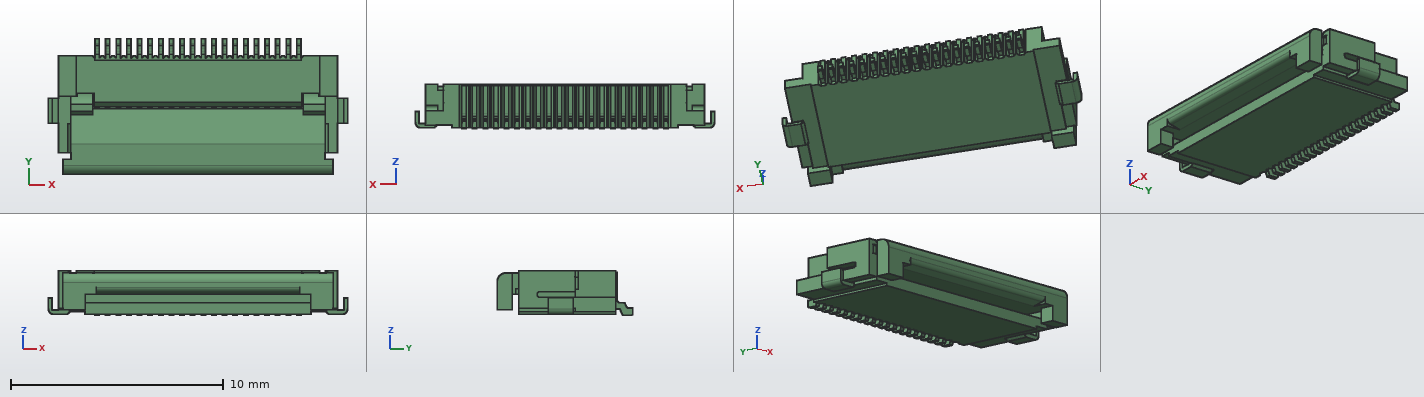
import cadquery as cq


body_half = 6.57
upper_half = 5.72
tongue_half = 5.33
body_back = 5.6
body_front = 1.02
tongue_bottom = 0.04
body_bottom = 0.17
body_top = 2.1
shoulder_top = 0.85
upper_front = 3.4
lip_depth = 0.2
lip_height = 0.3
floor_top = 0.59

arm_inner = 5.98
arm_back = 3.68
arm_bottom = 0.34
arm_slot_height = 0.27
arm_slot_front = 1.89
bevel_back = 2.38
bevel_width = 0.14
bevel_depth = 0.17
socket_outer = 6.29
socket_bottom = 1.44
socket_top = 1.88
socket_depth = 0.11
skirt_half = 6.06

flap_half = 6.36
flap_top = 2.0
flap_round = 0.44
ear_back = 0.72
ear_bottom = 0.25
notch_half = 5.3
panel_bottom = 0.99
panel_back = 3.09
slope_front = 1.45
slope_drop = 0.45
entry_half = 4.8
entry_round = 0.21
entry_bottom = 1.11
entry_depth = 0.7
relief_depth = 0.04
relief_front = 0.89
relief_back = 1.41
relief_top = 1.24

hinge_inner = 4.95
hinge_front = 2.8
hinge_foot = 1.64
hinge_flat_front = 2.98
hinge_flat_back = 3.31
hinge_low = 1.79
hinge_inset = 0.04
pocket_inner = 4.88
pocket_back = 3.82
pocket_floor = 1.23

contact_count = 20
contact_span = 9.5
contact_pitch = contact_span / (contact_count - 1)
contact_width = 0.21
contact_back = 6.4
contact_rear_face = 5.67
comb_depth = 0.21
tooth_chamfer = 0.11
contact_nose = 3.13
beam_top = 1.69
beam_bottom = 1.06
riser_top = 2.02
riser_bottom = 0.3
riser_bend = 0.11
step_top = 0.59
step_back = 6.05
step_bend = 0.08
step_slant = 0.04
foot_top = 0.35
foot_front = 5.91
foot_slant = 0.13
foot_chamfer = 0.05

tab_half = 7.05
tab_thickness = 0.18
tab_floor = 0.25
tab_top = 0.82
tab_front = 2.41
tab_back = 3.6
tab_bend = 0.27
tab_inner = 6.0
tab_taper = 0.15


def box(x0, x1, y0, y1, z0, z1):
    """Block given by its limits along each axis."""
    return cq.Workplane("XY").box(x1 - x0, y1 - y0, z1 - z0, centered=False).translate((x0, y0, z0))


def wide_box(half, y0, y1, z0, z1):
    """Block centred on X = 0."""
    return box(-half, half, y0, y1, z0, z1)


def extrude_side(points, x0, x1):
    """Extrude a closed (Y, Z) outline from x0 to x1."""
    return cq.Workplane("YZ").polyline(points).close().extrude(x1 - x0).translate((x0, 0, 0))


def both_sides(shape):
    """Shape together with its mirror image about X = 0."""
    return shape.union(shape.mirror("YZ"))


def contact_positions():
    return [-contact_span / 2 + i * contact_pitch for i in range(contact_count)]


def make_housing():
    floor = wide_box(skirt_half, body_front, arm_back, body_bottom, floor_top)
    tongue = wide_box(tongue_half, body_front, body_back, tongue_bottom, body_bottom)
    shoulder = wide_box(body_half, arm_back, body_back, body_bottom, shoulder_top)
    upper_outline = [
        (upper_front - lip_depth, body_bottom),
        (body_back, body_bottom),
        (body_back, body_top),
        (upper_front, body_top),
        (upper_front - lip_depth, body_top - lip_height),
    ]
    upper = extrude_side(upper_outline, -upper_half, upper_half)
    pocket = box(-upper_half, -pocket_inner, upper_front - lip_depth, pocket_back, pocket_floor, body_top)
    upper = upper.cut(both_sides(pocket))
    cheek = box(-arm_inner, -upper_half, body_front, arm_back, body_bottom, panel_bottom)
    return floor.union(tongue).union(shoulder).union(upper).union(both_sides(cheek))


def cut_contact_comb(housing):
    """Lowered rear edge with a flared groove for each contact."""
    row_half = (contact_span + contact_width) / 2
    comb_front = body_back - comb_depth
    housing = housing.cut(wide_box(row_half, comb_front, body_back, riser_top, body_top))
    groove_half = contact_width / 2
    flare_half = groove_half + tooth_chamfer
    for x in contact_positions():
        groove = (
            cq.Workplane("XY")
            .polyline([
                (x - groove_half, body_back - tooth_chamfer),
                (x - flare_half, body_back),
                (x + flare_half, body_back),
                (x + groove_half, body_back - tooth_chamfer),
            ])
            .close()
            .extrude(body_top)
        )
        housing = housing.cut(groove)
    return housing


def make_arm():
    arm = box(-body_half, -arm_inner, body_front, arm_back, arm_bottom, body_top)
    slot_middle = shoulder_top + arm_slot_height / 2
    slot_end = arm_slot_front + arm_slot_height / 2
    slot = box(-body_half, -arm_inner, slot_end, arm_back, shoulder_top, shoulder_top + arm_slot_height)
    slot_round = (
        cq.Workplane("YZ")
        .center(slot_end, slot_middle)
        .circle(arm_slot_height / 2)
        .extrude(body_half - arm_inner)
        .translate((-body_half, 0, 0))
    )
    bevel = (
        cq.Workplane("XZ")
        .polyline([
            (-arm_inner - bevel_width, body_top),
            (-arm_inner, body_top),
            (-arm_inner, body_top - bevel_depth),
        ])
        .close()
        .extrude(body_front - bevel_back)
        .translate((0, body_front, 0))
    )
    socket = box(-socket_outer, -arm_inner, body_front, body_front + socket_depth, socket_bottom, socket_top)
    return arm.cut(slot).cut(slot_round).cut(bevel).cut(socket)


def make_flap():
    panel_outline = [
        (0, panel_bottom),
        (0, flap_top),
        (slope_front, flap_top),
        (panel_back, flap_top - slope_drop),
        (panel_back, panel_bottom),
    ]
    flap = extrude_side(panel_outline, -arm_inner, arm_inner)
    flap = flap.union(both_sides(box(-flap_half, -notch_half, 0, ear_back, ear_bottom, flap_top)))
    flap = flap.edges("|X and <Y and >Z").fillet(flap_round)
    round_top = entry_bottom + entry_round
    entry = (
        cq.Workplane("YZ")
        .moveTo(0, panel_bottom)
        .lineTo(0, round_top)
        .radiusArc((entry_round, entry_bottom), -entry_round)
        .lineTo(entry_depth, panel_bottom)
        .close()
        .extrude(2 * entry_half)
        .translate((-entry_half, 0, 0))
    )
    relief = box(-arm_inner, -arm_inner + relief_depth, relief_front, relief_back, panel_bottom, relief_top)
    return flap.cut(entry).cut(both_sides(relief))


def make_hinge_pin():
    """Pin with a hollow back slope running out level at the pocket wall."""
    rise = flap_top - hinge_low
    run = pocket_back - hinge_flat_back
    slope_radius = (run**2 + rise**2) / (2 * rise)
    pin = (
        cq.Workplane("YZ")
        .moveTo(hinge_front, panel_bottom)
        .lineTo(hinge_front, hinge_foot)
        .lineTo(hinge_flat_front, flap_top)
        .lineTo(hinge_flat_back, flap_top)
        .radiusArc((pocket_back, hinge_low), -slope_radius)
        .lineTo(pocket_back, panel_bottom)
        .close()
        .extrude(arm_inner - hinge_inner)
        .translate((-arm_inner, 0, 0))
    )
    outer_corner = box(-arm_inner, -upper_half + hinge_inset, arm_back, pocket_back, panel_bottom, flap_top)
    return pin.cut(outer_corner)


def make_contact(x):
    """Flat contact: beam through the housing, rear riser and an S-bent solder foot."""
    riser_front = body_back - comb_depth
    return (
        cq.Workplane("YZ")
        .moveTo(contact_nose, beam_bottom)
        .lineTo(contact_nose, beam_top)
        .lineTo(riser_front, beam_top)
        .lineTo(riser_front, riser_top)
        .lineTo(contact_rear_face, riser_top)
        .lineTo(contact_rear_face, step_top + riser_bend)
        .radiusArc((contact_rear_face + riser_bend, step_top), -riser_bend)
        .lineTo(step_back - step_bend, step_top)
        .radiusArc((step_back, step_top - step_bend), step_bend)
        .lineTo(step_back + step_slant, foot_top + step_bend)
        .radiusArc((step_back + step_slant + step_bend, foot_top), -step_bend)
        .lineTo(contact_back, foot_top)
        .lineTo(contact_back, foot_chamfer)
        .lineTo(contact_back - foot_chamfer, 0)
        .lineTo(foot_front, 0)
        .lineTo(foot_front - foot_slant, riser_bottom)
        .lineTo(riser_front, riser_bottom)
        .lineTo(riser_front, beam_bottom)
        .close()
        .extrude(contact_width)
        .translate((x - contact_width / 2, 0, 0))
    )


def make_tab():
    outline = [
        (-tab_half, tab_top),
        (-tab_half + tab_thickness, tab_top),
        (-tab_half + tab_thickness, tab_floor),
        (-tab_inner, tab_floor),
        (-tab_inner, body_bottom),
        (-tab_inner - tab_taper, tongue_bottom),
        (-tab_half, tongue_bottom),
    ]
    tab = cq.Workplane("XZ").polyline(outline).close().extrude(tab_front - tab_back)
    tab = tab.translate((0, tab_front, 0))
    return tab.edges("|Y and <X and <Z").fillet(tab_bend)


result = cut_contact_comb(make_housing())
result = result.union(both_sides(make_arm()))
result = result.union(make_flap())
result = result.union(both_sides(make_hinge_pin()))
result = result.union(both_sides(make_tab()))
for position in contact_positions():
    result = result.union(make_contact(position))
result = result.clean()